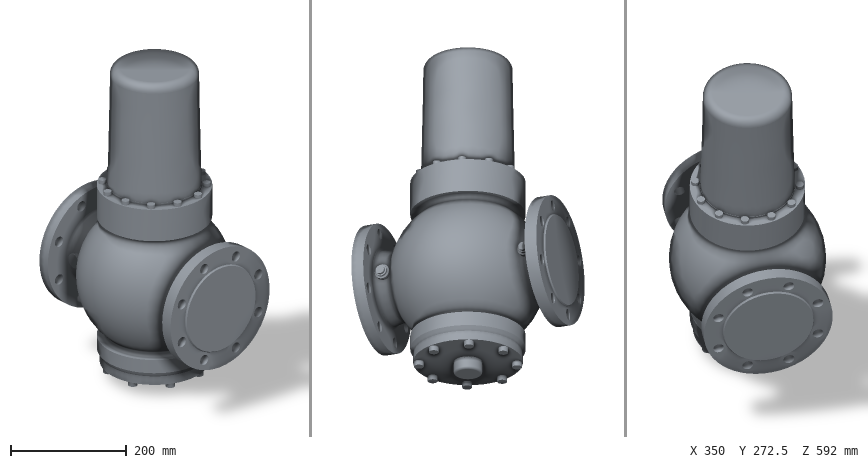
import cadquery as cq
import math


body_radius = 136.26
neck_radius = 86.5
neck_body_fillet = 3.5
neck_flange_fillet = 5.0
body_flange_radius = 100.0
body_flange_face = 115.0

upper_flange_top = 175.5
collar_radius = 82.5
collar_height = 3.5
bonnet_base_radius = 81.8
bonnet_top_radius = 77.0
bonnet_top = 404.0
bonnet_edge_fillet = 15.0

lower_flange_bottom = -140.5
cover_radius = 95.0
cover_taper_bottom = -149.0
cover_bottom = -165.5
plug_radius = 24.7
plug_bottom = -188.0
plug_edge_fillet = 4.0
plug_washer_radius = 25.0
plug_washer_thickness = 2.5

upper_screw_count = 12
upper_screw_circle_radius = 90.5
upper_screw_radius = 7.0
upper_screw_height = 7.0
cover_screw_count = 8
cover_screw_circle_radius = 85.0
cover_screw_radius = 8.5
cover_screw_height = 9.0

face_to_face = 350.0
raised_face_height = 3.0
raised_face_outer_radius = 79.0
raised_face_base_radius = 81.0
line_flange_thickness = 22.0
line_flange_radius = 114.0
bolt_hole_count = 8
bolt_circle_radius = 95.25
bolt_hole_radius = 9.5
nozzle_body_radius = 63.5
nozzle_flange_radius = 66.5
nozzle_body_fillet = 10.0
nozzle_flange_fillet = 5.0

tapping_x = 132.5
tapping_radius = 13.2
tapping_reach = 70.5
tapping_plug_rim_radius = 9.7
tapping_plug_rim_reach = 74.5
tapping_plug_head_radius = 7.5
tapping_plug_reach = 79.7

line_flange_front = face_to_face / 2 - raised_face_height
line_flange_back = line_flange_front - line_flange_thickness


def make_cylinder(radius, start_z, end_z):
    return cq.Workplane("XY").workplane(offset=start_z).circle(radius).extrude(end_z - start_z)


def revolve_about_z(outline):
    """Turn a closed outline, drawn as (radius, z), about the Z axis."""
    return outline.close().revolve(360, (0, 0, 0), (0, 1, 0))


def make_branch(body_end_radius, flange_end_radius, body_fillet, flange_fillet, flange_face):
    """Branch along +Z from the body centre to a flange face, blended into both."""
    centre_radius = body_end_radius + body_fillet
    centre_distance = body_radius + body_fillet
    centre_z = math.sqrt(centre_distance**2 - centre_radius**2)
    touch_ratio = body_radius / centre_distance
    middle_angle = math.pi + math.atan2(centre_z, centre_radius) / 2
    body_arc_middle = (
        centre_radius + body_fillet * math.cos(middle_angle),
        centre_z + body_fillet * math.sin(middle_angle),
    )

    flange_arc_start_z = flange_face - flange_fillet
    flange_arc_middle = (
        flange_end_radius + flange_fillet * (1 - math.sqrt(0.5)),
        flange_arc_start_z + flange_fillet * math.sqrt(0.5),
    )

    outline = (
        cq.Workplane("XZ")
        .lineTo(centre_radius * touch_ratio, centre_z * touch_ratio)
        .threePointArc(body_arc_middle, (body_end_radius, centre_z))
        .lineTo(flange_end_radius, flange_arc_start_z)
        .threePointArc(flange_arc_middle, (flange_end_radius + flange_fillet, flange_face))
        .lineTo(0, flange_face)
    )
    return revolve_about_z(outline)


def make_cylinder_ring(count, circle_radius, radius, start_z, height):
    """Ring of cylinders, straddling the X and Y axes."""
    return (
        cq.Workplane("XY")
        .workplane(offset=start_z)
        .polarArray(circle_radius, 180 / count, 360, count)
        .circle(radius)
        .extrude(height)
    )


def make_bonnet():
    """Drafted cap with a rounded top edge, standing on a low collar."""
    cap_base = upper_flange_top + collar_height
    cap_outline = (
        cq.Workplane("XZ")
        .moveTo(0, cap_base)
        .lineTo(bonnet_base_radius, cap_base)
        .lineTo(bonnet_top_radius, bonnet_top)
        .lineTo(0, bonnet_top)
    )
    cap = revolve_about_z(cap_outline).faces(">Z").edges().fillet(bonnet_edge_fillet)
    collar = make_cylinder(collar_radius, upper_flange_top, cap_base)
    return collar.union(cap)


def make_upper_end():
    flange = make_cylinder(body_flange_radius, body_flange_face, upper_flange_top)
    heads = make_cylinder_ring(
        upper_screw_count,
        upper_screw_circle_radius,
        upper_screw_radius,
        upper_flange_top,
        upper_screw_height,
    )
    return flange.union(make_bonnet()).union(heads)


def make_lower_end():
    """Lower body flange, tapered cover, cover screws and central plug on its washer."""
    outline = (
        cq.Workplane("XZ")
        .moveTo(0, -body_flange_face)
        .lineTo(body_flange_radius, -body_flange_face)
        .lineTo(body_flange_radius, lower_flange_bottom)
        .lineTo(cover_radius, cover_taper_bottom)
        .lineTo(cover_radius, cover_bottom)
        .lineTo(0, cover_bottom)
    )
    heads = make_cylinder_ring(
        cover_screw_count,
        cover_screw_circle_radius,
        cover_screw_radius,
        cover_bottom,
        -cover_screw_height,
    )
    plug = make_cylinder(plug_radius, plug_bottom, cover_bottom)
    plug = plug.faces("<Z").edges().fillet(plug_edge_fillet)
    washer = make_cylinder(plug_washer_radius, cover_bottom - plug_washer_thickness, cover_bottom)
    return revolve_about_z(outline).union(heads).union(plug).union(washer)


def make_line_flange():
    """Line flange about Z, with a raised face and through bolt holes."""
    face_z = face_to_face / 2
    outline = (
        cq.Workplane("XZ")
        .moveTo(0, line_flange_back)
        .lineTo(line_flange_radius, line_flange_back)
        .lineTo(line_flange_radius, line_flange_front)
        .lineTo(raised_face_base_radius, line_flange_front)
        .lineTo(raised_face_outer_radius, face_z)
        .lineTo(0, face_z)
    )
    holes = make_cylinder_ring(
        bolt_hole_count,
        bolt_circle_radius,
        bolt_hole_radius,
        line_flange_back,
        line_flange_thickness,
    )
    return revolve_about_z(outline).cut(holes)


def make_line_end(side):
    """Nozzle and line flange along the X axis; side is +1 or -1."""
    nozzle = make_branch(
        nozzle_body_radius,
        nozzle_flange_radius,
        nozzle_body_fillet,
        nozzle_flange_fillet,
        line_flange_back,
    )
    return nozzle.union(make_line_flange()).rotate((0, 0, 0), (0, 1, 0), 90 * side)


def make_tapping(side):
    """Boss through the nozzle along Y, with a plug screwed into its +Y end."""
    boss = make_cylinder(tapping_radius, -tapping_reach, tapping_reach)
    rim = make_cylinder(tapping_plug_rim_radius, tapping_reach, tapping_plug_rim_reach)
    head = make_cylinder(tapping_plug_head_radius, tapping_plug_rim_reach, tapping_plug_reach)
    tapping = boss.union(rim).union(head)
    return tapping.rotate((0, 0, 0), (1, 0, 0), -90).translate((side * tapping_x, 0, 0))


neck = make_branch(
    neck_radius, neck_radius, neck_body_fillet, neck_flange_fillet, body_flange_face
)
result = cq.Workplane("XY").sphere(body_radius)
result = result.union(neck).union(neck.mirror("XY"))
result = result.union(make_upper_end()).union(make_lower_end())
for side in (-1, 1):
    result = result.union(make_line_end(side)).union(make_tapping(side))